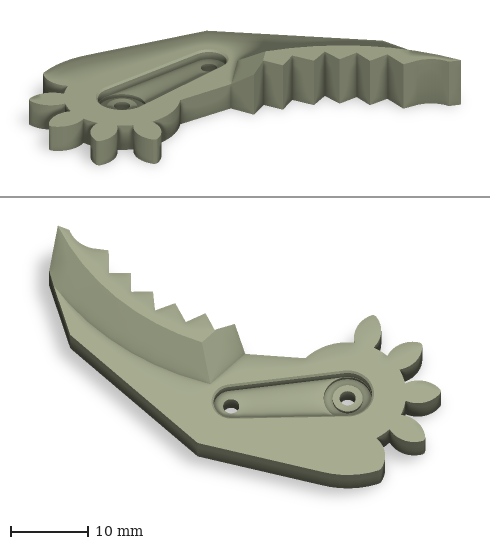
import cadquery as cq
import math


BODY_HEIGHT = 3.6
JAW_HEIGHT = 6.6

TEETH_IN_FULL_GEAR = 10
TOOTH_PITCH = 360 / TEETH_IN_FULL_GEAR
FULL_TOOTH_COUNT = 4
ROOT_RADIUS = 7.6
TIP_RADIUS = 12.1
TOOTH_FLANK = [(7.5, 1.3), (9.65, 1.66), (12.0, 0.32)]

ELBOW = (-12.56, 16.6)
SHOULDER = (-1.86, 37.0)
JAW_BACK = (6.25, 42.25)
JAW_TIP = (11.65, 42.67)
JAW_NOSE = (11.46, 41.05)
HOOK_MIDDLE = (9.95, 39.1)
HOOK_END = (9.7, 37.4)
JAW_SERRATION = [
    ((10.0, 35.3), (6.77, 34.3)),
    ((7.57, 31.57), (4.93, 30.75)),
    ((5.76, 28.05), (3.15, 27.0)),
    ((4.93, 24.8), (2.63, 22.68)),
    ((4.62, 20.6), (2.55, 18.75)),
    ((4.5, 16.6), (1.87, 14.4)),
]
NECK_ROOT_ANGLE = 63

RAMP_WIDTH = 4.0
RAMP_FOOT_RADIUS = 36.1
RAMP_START = (-3.71, 18.2)
RAMP_CORNER_Y = 17.48
RAMP_END_ANGLE = -28.5
RAMP_SWEEP = 60

LINK_HOLE = (-5.42, 14.17)
HOLE_DIAMETER = 2.1
POCKET_DEPTH = 1.3
POCKET_PIVOT_RADIUS = 3.17
POCKET_LINK_RADIUS = 2.3
POCKET_CHAMFER = 0.25
PIVOT_RECESS_RADIUS = 3.12
PIVOT_RECESS_DEPTH = 0.5
PIVOT_SEAT_RADIUS = 1.95


def polar(radius, degrees):
    angle = math.radians(degrees)
    return (radius * math.cos(angle), radius * math.sin(angle))


def turned(point, degrees):
    """Return the point turned about the pivot."""
    x, y = point
    cosine, sine = polar(1, degrees)
    return (x * cosine - y * sine, x * sine + y * cosine)


def make_gear_tooth(angle):
    upper = [turned(point, angle) for point in TOOTH_FLANK]
    lower = [turned((x, -y), angle) for x, y in reversed(TOOTH_FLANK)]
    return (
        cq.Workplane()
        .moveTo(*upper[0])
        .threePointArc(*upper[1:])
        .threePointArc(polar(TIP_RADIUS, angle), lower[0])
        .threePointArc(*lower[1:])
        .close()
        .extrude(BODY_HEIGHT)
    )


def make_heel():
    """The rounded heel, which ends in one flank of the gear tooth it absorbs."""
    angle = -TOOTH_PITCH * FULL_TOOTH_COUNT
    flank = [turned(point, angle) for point in reversed(TOOTH_FLANK)]
    arc_middle = polar(TIP_RADIUS, (angle - 180) / 2)
    return (
        cq.Workplane()
        .lineTo(-TIP_RADIUS, 0)
        .threePointArc(arc_middle, polar(TIP_RADIUS, angle))
        .lineTo(*flank[0])
        .threePointArc(*flank[1:])
        .close()
        .extrude(BODY_HEIGHT)
    )


def make_arm():
    """The arm and the serrated jaw at full jaw height."""
    outline = (
        cq.Workplane()
        .lineTo(-TIP_RADIUS, 0)
        .lineTo(*ELBOW)
        .lineTo(*SHOULDER)
        .lineTo(*JAW_BACK)
        .lineTo(*JAW_TIP)
        .lineTo(*JAW_NOSE)
        .threePointArc(HOOK_MIDDLE, HOOK_END)
    )
    for point, notch in JAW_SERRATION:
        outline = outline.lineTo(*point).lineTo(*notch)
    return outline.lineTo(*polar(ROOT_RADIUS, NECK_ROOT_ANGLE)).close().extrude(JAW_HEIGHT)


def make_jaw_envelope():
    """The block under the ramps: it keeps the body below and the raised jaw above."""
    center_x = RAMP_START[0] + RAMP_FOOT_RADIUS
    center_y = RAMP_START[1]
    half_x, half_y = polar(RAMP_FOOT_RADIUS, 180 - RAMP_SWEEP / 2)
    end_x, end_y = polar(RAMP_FOOT_RADIUS, 180 - RAMP_SWEEP)
    end_ramp_y = RAMP_CORNER_Y + RAMP_FOOT_RADIUS * math.tan(math.radians(RAMP_END_ANGLE))
    ramp_taper = math.degrees(math.atan2(RAMP_WIDTH, JAW_HEIGHT - BODY_HEIGHT))
    raised = (
        cq.Workplane(origin=(0, 0, BODY_HEIGHT))
        .moveTo(RAMP_START[0], RAMP_CORNER_Y)
        .lineTo(*RAMP_START)
        .threePointArc((center_x + half_x, center_y + half_y), (center_x + end_x, center_y + end_y))
        .lineTo(center_x, center_y + end_y)
        .lineTo(center_x, end_ramp_y)
        .close()
        .extrude(JAW_HEIGHT - BODY_HEIGHT, taper=ramp_taper)
    )
    base_size = 4 * RAMP_FOOT_RADIUS
    base = cq.Workplane().rect(base_size, base_size).extrude(BODY_HEIGHT)
    return base.union(raised)


def pocket_profile(z):
    """The tapered slot that joins the pivot and the link hole."""
    link_x, link_y = LINK_HOLE
    span = math.hypot(link_x, link_y)
    direction = math.degrees(math.atan2(link_y, link_x))
    tangent = math.degrees(math.acos((POCKET_PIVOT_RADIUS - POCKET_LINK_RADIUS) / span))

    def pivot_point(angle):
        return polar(POCKET_PIVOT_RADIUS, direction + angle)

    def link_point(angle):
        x, y = polar(POCKET_LINK_RADIUS, direction + angle)
        return (link_x + x, link_y + y)

    return (
        cq.Workplane(origin=(0, 0, z))
        .moveTo(*pivot_point(-tangent))
        .lineTo(*link_point(-tangent))
        .threePointArc(link_point(0), link_point(tangent))
        .lineTo(*pivot_point(tangent))
        .threePointArc(pivot_point(180), pivot_point(-tangent))
        .close()
    )


def make_pocket():
    straight = pocket_profile(BODY_HEIGHT - POCKET_DEPTH).extrude(POCKET_DEPTH)
    chamfer = pocket_profile(BODY_HEIGHT - POCKET_CHAMFER).extrude(POCKET_CHAMFER, taper=-45)
    return straight.union(chamfer)


def make_pivot_recess():
    """A ring recess in the pocket floor, around a pivot seat level with that floor."""
    return (
        cq.Workplane(origin=(0, 0, BODY_HEIGHT - POCKET_DEPTH))
        .circle(PIVOT_RECESS_RADIUS)
        .circle(PIVOT_SEAT_RADIUS)
        .extrude(-PIVOT_RECESS_DEPTH)
    )


def make_holes():
    centers = [(0, 0), LINK_HOLE]
    return cq.Workplane().pushPoints(centers).circle(HOLE_DIAMETER / 2).extrude(BODY_HEIGHT)


arm = make_arm().intersect(make_jaw_envelope())
body = arm.union(cq.Workplane().circle(ROOT_RADIUS).extrude(BODY_HEIGHT)).union(make_heel())
for index in range(FULL_TOOTH_COUNT):
    body = body.union(make_gear_tooth(-TOOTH_PITCH * index))

result = body.cut(make_pocket()).cut(make_pivot_recess()).cut(make_holes())